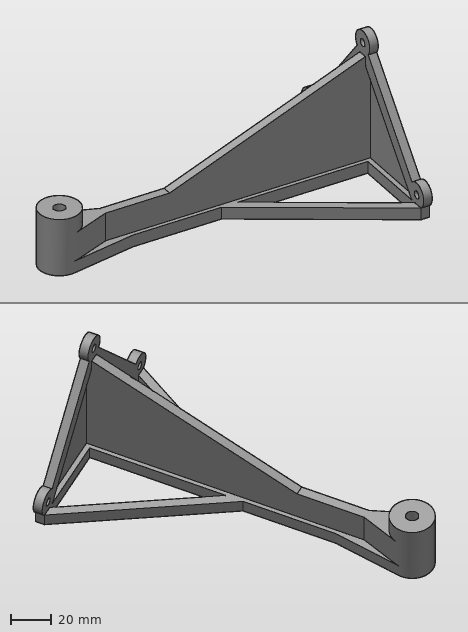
import cadquery as cq
import math

reach = 193.3

hub_radius = 11.6
hub_height = 33.0
hub_bore = 6.5
hub_y = -(reach - hub_radius)

plate_thickness = 5.0
panel_thickness = 2.1
rail_half_length = 56.8
rail_height = 7.0
plate_apex_z = 76.4
recess_half_base = 47.7
plate_front_y = -plate_thickness

lug_radius = 7.0
lug_hole = 4.3
lug_x = 52.5
lug_low_z = 12.4
lug_high_z = 74.0
lug_centres = [(-lug_x, lug_low_z), (lug_x, lug_low_z), (0, lug_high_z)]

arm_half_width = 5.0
arm_flare_y = -141.7

rib_half_width = 2.7
rib_flare_y = -156.4
rib_high_z = 67.3
rib_low_z = 23.2
rib_slope_end_y = -119.0

strut_width = 5.0
strut_arm_y = -90.3


def wall_prism(points, front_y, back_y):
    """Extrude an outline given in X and Z between two Y positions."""
    outline = cq.Workplane("XZ", origin=(0, back_y, 0)).polyline(points).close()
    return outline.extrude(back_y - front_y)


def flared_bar(half_width, back_y, flare_y, height):
    """Straight bar along Y whose sides flare out from flare_y to meet the hub tangentially."""
    run = flare_y - hub_y
    corner_distance = math.hypot(half_width, run)
    flare_angle = math.asin(hub_radius / corner_distance) - math.atan2(half_width, run)
    tangent_x = hub_radius * math.cos(flare_angle)
    tangent_y = hub_y + hub_radius * math.sin(flare_angle)
    return (
        cq.Workplane("XY")
        .moveTo(half_width, back_y)
        .lineTo(half_width, flare_y)
        .lineTo(tangent_x, tangent_y)
        .lineTo(-tangent_x, tangent_y)
        .lineTo(-half_width, flare_y)
        .lineTo(-half_width, back_y)
        .close()
        .extrude(height)
    )


def wall_plate():
    """Rail and triangular frame around a thinner panel, with a round lug at each corner."""
    frame = wall_prism(
        [
            (-rail_half_length, 0),
            (rail_half_length, 0),
            (rail_half_length, rail_height),
            (0, plate_apex_z),
            (-rail_half_length, rail_height),
        ],
        plate_front_y,
        0,
    )
    side_slope = (plate_apex_z - rail_height) / rail_half_length
    recess_apex_z = rail_height + recess_half_base * side_slope
    recess = wall_prism(
        [(-recess_half_base, rail_height), (recess_half_base, rail_height), (0, recess_apex_z)],
        plate_front_y,
        -panel_thickness,
    )
    lugs = cq.Workplane("XZ").pushPoints(lug_centres).circle(lug_radius).extrude(plate_thickness)
    holes = cq.Workplane("XZ").pushPoints(lug_centres).circle(lug_hole / 2).extrude(plate_thickness)
    return frame.cut(recess).union(lugs).cut(holes)


def rib():
    """Upright rib that slopes down from the wall plate to a level stretch ending at the hub."""
    blank = flared_bar(rib_half_width, -panel_thickness, rib_flare_y, rib_high_z)
    side_profile = (
        cq.Workplane("YZ")
        .polyline(
            [
                (0, 0),
                (0, rib_high_z),
                (plate_front_y, rib_high_z),
                (rib_slope_end_y, rib_low_z),
                (-reach, rib_low_z),
                (-reach, 0),
            ]
        )
        .close()
        .extrude(hub_radius, both=True)
    )
    return blank.intersect(side_profile)


def strut(side):
    """Brace from one end of the rail to the arm; side is +1 or -1 along X."""
    spread = rail_half_length - arm_half_width
    run = plate_front_y - strut_arm_y
    width_along_x = strut_width * math.hypot(spread, run) / run
    centre_y = strut_arm_y - arm_half_width * run / spread
    width_along_y = width_along_x * run / spread
    return (
        cq.Workplane("XY")
        .polyline(
            [
                (side * rail_half_length, plate_front_y),
                (0, centre_y),
                (0, centre_y + width_along_y),
                (side * (rail_half_length - width_along_x), plate_front_y),
            ]
        )
        .close()
        .extrude(rail_height)
    )


arm = flared_bar(arm_half_width, -panel_thickness, arm_flare_y, rail_height)
hub = cq.Workplane("XY").center(0, hub_y).circle(hub_radius).extrude(hub_height)
bore = cq.Workplane("XY").center(0, hub_y).circle(hub_bore / 2).extrude(hub_height)

base = arm.union(strut(-1)).union(strut(1)).clean()
result = wall_plate().union(base).union(rib()).union(hub).cut(bore).clean()